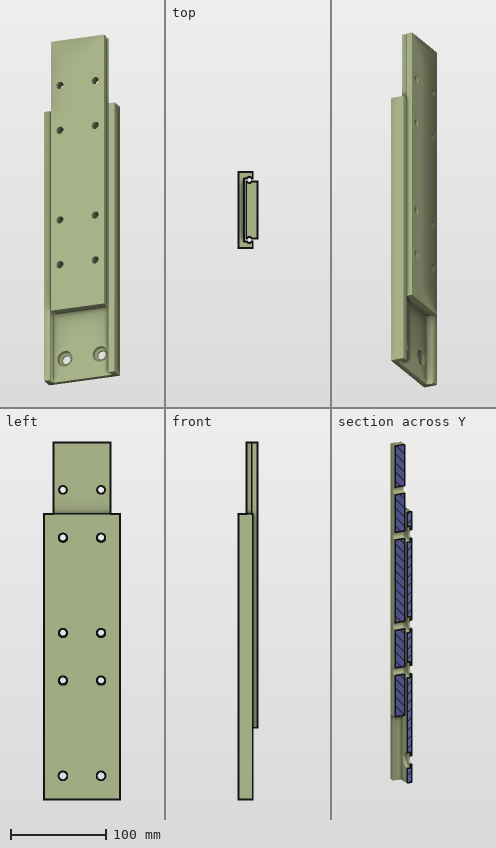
import cadquery as cq

rail_length = 300.0
travel = 75.29

housing_width = 80.0
housing_depth = 15.0
housing_floor = 6.0
housing_lip = 7.0
housing_hole_diameter = 9.0
counterbore_diameter = 17.0
counterbore_depth = 4.0
housing_hole_heights = (25.0, 125.0, 175.0, 275.0)

slider_width = 60.0
slider_back = 8.0
slider_front = 20.0
slider_hole_diameter = 8.0
slider_hole_heights = (50.0, 100.0, 200.0, 250.0)

hole_spacing = 40.0

channel_width = housing_width - 2 * housing_lip
track_radius = 3.0
track_x = (slider_back + housing_depth) / 2
track_y = (channel_width + slider_width) / 4


def block(x_start, x_end, width):
    """Full-length block between two X positions, centred on Y."""
    return cq.Workplane("XY").box(
        x_end - x_start, width, rail_length, centered=(False, True, False)
    ).translate((x_start, 0, 0))


def ball_tracks():
    """Two full-length cylinders, one on each side of the slider."""
    centres = [(track_x, side * track_y) for side in (-1, 1)]
    return cq.Workplane("XY").pushPoints(centres).circle(track_radius).extrude(rail_length)


def mounting_holes(heights, diameter):
    """Pairs of cylinders along X, long enough to pass through either body."""
    centres = [(side * hole_spacing / 2, z) for z in heights for side in (-1, 1)]
    return cq.Workplane("YZ").pushPoints(centres).circle(diameter / 2).extrude(slider_front)


def make_housing():
    body = block(0, housing_depth, housing_width)
    body = body.cut(block(housing_floor, housing_depth, channel_width))
    body = body.cut(ball_tracks())
    body = body.cut(mounting_holes(housing_hole_heights, housing_hole_diameter))
    counterbores = mounting_holes(housing_hole_heights, counterbore_diameter)
    return body.cut(counterbores.translate((housing_floor - counterbore_depth, 0, 0)))


def make_slider():
    body = block(slider_back, slider_front, slider_width)
    body = body.cut(ball_tracks())
    body = body.cut(mounting_holes(slider_hole_heights, slider_hole_diameter))
    return body.translate((0, 0, travel))


housing = make_housing()
slider = make_slider()

result = cq.Compound.makeCompound([housing.val(), slider.val()])